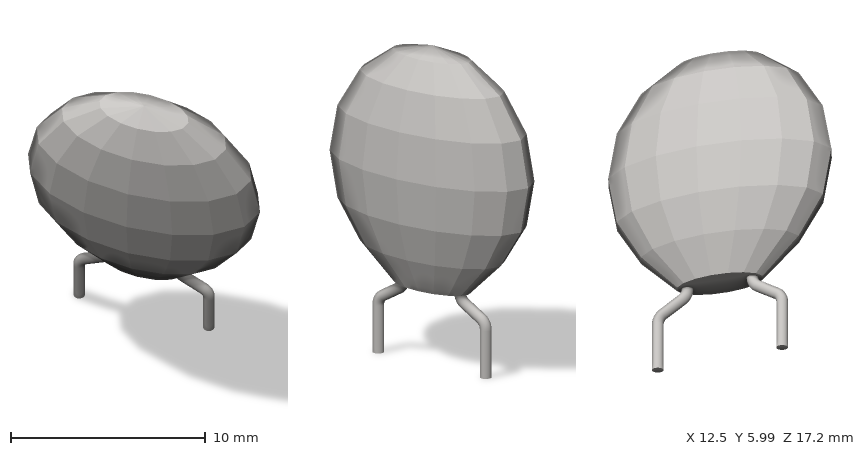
import cadquery as cq
import math

BODY_WIDTH = 12.5
BODY_DEPTH = 5.99
BODY_HEIGHT = 13.0
SEGMENTS = 16
BANDS = 8

TOTAL_HEIGHT = 17.25
WIRE_DIAMETER = 0.6
BEND_RADIUS = 0.6
BEND_ANGLE = 60.0
LEAD_PITCH = 6.99
EXIT_PITCH = 3.65

UNDERSIDE_Z = TOTAL_HEIGHT - BODY_HEIGHT
CENTRE_Z = UNDERSIDE_Z + BODY_HEIGHT / 2


def ring_points(band):
    """Corners of the horizontal ring that lies `band` bands below the top pole."""
    polar = math.pi * band / BANDS
    ring_z = CENTRE_Z + BODY_HEIGHT / 2 * math.cos(polar)
    if band == BANDS - 1:
        ring_z = UNDERSIDE_Z
    points = []
    for segment in range(SEGMENTS):
        around = 2 * math.pi * segment / SEGMENTS
        x = BODY_WIDTH / 2 * math.sin(polar) * math.cos(around)
        y = BODY_DEPTH / 2 * math.sin(polar) * math.sin(around)
        points.append(cq.Vector(x, y, ring_z))
    return points


def flat_face(points):
    return cq.Face.makeFromWires(cq.Wire.makePolygon(points, close=True))


def make_body():
    top_pole = cq.Vector(0, 0, TOTAL_HEIGHT)
    rings = [ring_points(band) for band in range(1, BANDS)]
    faces = [flat_face(rings[-1])]
    for i in range(SEGMENTS):
        j = (i + 1) % SEGMENTS
        faces.append(flat_face([top_pole, rings[0][i], rings[0][j]]))
        for upper, lower in zip(rings, rings[1:]):
            faces.append(flat_face([upper[i], lower[i], lower[j]]))
            faces.append(flat_face([upper[i], lower[j], upper[j]]))
    return cq.Solid.makeSolid(cq.Shell.makeShell(faces))


def make_lead(side):
    """One lead; `side` is -1 for the -X lead and +1 for the +X lead."""
    angle = math.radians(BEND_ANGLE)
    bend_out = BEND_RADIUS * (1 - math.cos(angle))
    bend_drop = BEND_RADIUS * math.sin(angle)
    mid_out = BEND_RADIUS * (1 - math.cos(angle / 2))
    mid_drop = BEND_RADIUS * math.sin(angle / 2)
    exit_x = EXIT_PITCH / 2
    leg_x = LEAD_PITCH / 2
    slope_drop = (leg_x - exit_x - 2 * bend_out) / math.tan(angle)
    leg_top_z = UNDERSIDE_Z - slope_drop - 2 * bend_drop

    centreline = (
        cq.Workplane("XZ")
        .moveTo(side * exit_x, UNDERSIDE_Z)
        .threePointArc(
            (side * (exit_x + mid_out), UNDERSIDE_Z - mid_drop),
            (side * (exit_x + bend_out), UNDERSIDE_Z - bend_drop),
        )
        .lineTo(side * (leg_x - bend_out), leg_top_z + bend_drop)
        .threePointArc(
            (side * (leg_x - mid_out), leg_top_z + mid_drop),
            (side * leg_x, leg_top_z),
        )
        .lineTo(side * leg_x, 0)
    )
    wire_end = cq.Workplane("XY", origin=(side * exit_x, 0, UNDERSIDE_Z)).circle(WIRE_DIAMETER / 2)
    return wire_end.sweep(centreline)


body = make_body()
leads = [make_lead(side) for side in (-1, 1)]

result = cq.Compound.makeCompound([body, *[lead.val() for lead in leads]])